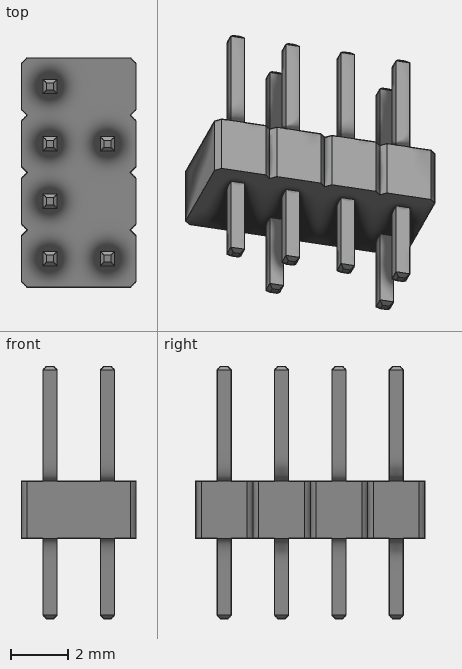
import cadquery as cq

pitch = 2.0
columns = 2
rows = 4
housing_height = 2.0
corner_cut = 0.2

pin_width = 0.5
pin_above_housing = 4.0
pin_below_housing = 2.8
tip_chamfer = 0.125
empty_positions = [(1, 1), (1, 3)]

housing_width = columns * pitch
pin_length = pin_below_housing + housing_height + pin_above_housing


def grid_offset(index, count):
    """Centre of a grid cell along one axis, with the grid centred on the origin."""
    return (index - (count - 1) / 2) * pitch


def make_housing():
    """Rows of bevelled blocks; neighbouring bevels form the V notches."""
    housing = cq.Workplane("XY")
    for row in range(rows):
        block = (
            cq.Workplane("XY")
            .center(0, grid_offset(row, rows))
            .rect(housing_width, pitch)
            .extrude(housing_height)
            .edges("|Z")
            .chamfer(corner_cut)
        )
        housing = housing.union(block)
    return housing.clean()


def make_pin(column, row):
    """Square pin through the housing, tapered at both tips."""
    return (
        cq.Workplane("XY")
        .workplane(offset=-pin_below_housing)
        .center(grid_offset(column, columns), grid_offset(row, rows))
        .rect(pin_width, pin_width)
        .extrude(pin_length)
        .faces("<Z or >Z")
        .chamfer(tip_chamfer)
    )


result = make_housing()
for column in range(columns):
    for row in range(rows):
        if (column, row) not in empty_positions:
            result = result.union(make_pin(column, row))